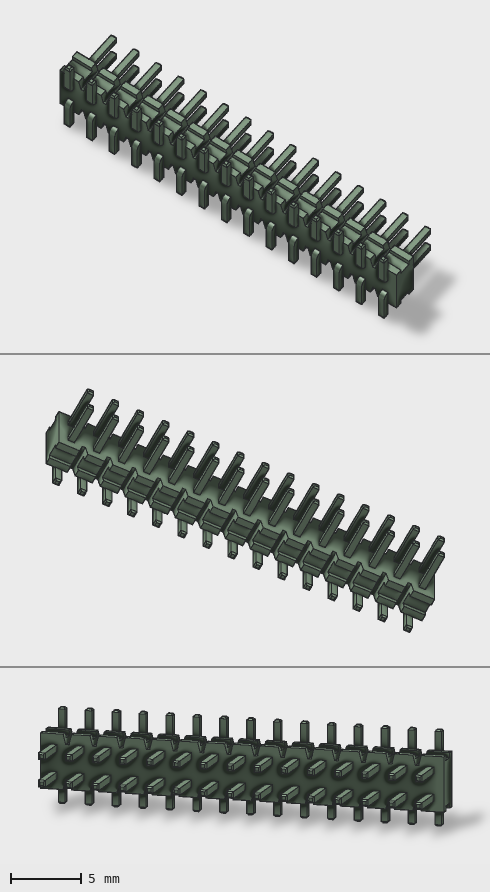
import cadquery as cq

LENGTH = 29.98
POSITIONS = 15
PITCH = LENGTH / POSITIONS
BODY_DEPTH = 2.05
BODY_HEIGHT = 4.05

PIN_SIZE = PITCH / 4
PIN_REACH = 3.18
ROW_SPACING = PITCH
TIP_CHAMFER = 0.12
FOOT_SPAN = 7.05
FOOT_PROUD = 0.48

GROOVE_WIDTH = 0.95
GROOVE_DEPTH = 0.35

NOTCH_MOUTH = 0.63
NOTCH_FLOOR = 0.25
NOTCH_DEPTH = 0.75

BODY_TOP = BODY_HEIGHT / 2
PIN_TIP_Y = BODY_DEPTH + PIN_REACH
ROW_Z = ROW_SPACING / 2
FOOT_LENGTH = FOOT_SPAN / 2 - ROW_Z + PIN_SIZE / 2
FOOT_BACK_Y = PIN_SIZE - FOOT_PROUD
FOOT_Y = FOOT_BACK_Y - PIN_SIZE / 2


def position_x(index):
    """X of the pin column with the given index, the row being centred on X = 0."""
    return (index - (POSITIONS - 1) / 2) * PITCH


def mirrored_pair(upper):
    """The upper feature together with its copy below the XY plane."""
    return upper.union(upper.mirror("XY"))


def make_groove():
    """Groove running the full length of the top face."""
    return cq.Workplane("XY").box(LENGTH, GROOVE_WIDTH, GROOVE_DEPTH).translate(
        (0, BODY_DEPTH / 2, BODY_TOP - GROOVE_DEPTH / 2)
    )


def make_notch(x):
    """Tapered break-off notch across the top face, centred on x."""
    floor_z = BODY_TOP - NOTCH_DEPTH
    return (
        cq.Workplane("XZ")
        .moveTo(x - NOTCH_MOUTH / 2, BODY_TOP)
        .lineTo(x - NOTCH_FLOOR / 2, floor_z)
        .lineTo(x + NOTCH_FLOOR / 2, floor_z)
        .lineTo(x + NOTCH_MOUTH / 2, BODY_TOP)
        .close()
        .extrude(-BODY_DEPTH)
    )


def make_body():
    """Insulator strip with grooves and notches on its top and bottom faces."""
    body = cq.Workplane("XY").box(LENGTH, BODY_DEPTH, BODY_HEIGHT).translate((0, BODY_DEPTH / 2, 0))
    body = body.cut(mirrored_pair(make_groove()))
    for index in range(POSITIONS - 1):
        notch = make_notch(position_x(index) + PITCH / 2)
        body = body.cut(mirrored_pair(notch))
    return body


def make_foot(x):
    """Upright solder foot at x, with the outside of its bend rounded over the full thickness."""
    foot = (
        cq.Workplane("XY")
        .box(PIN_SIZE, PIN_SIZE, FOOT_LENGTH)
        .translate((x, FOOT_Y, (FOOT_SPAN - FOOT_LENGTH) / 2))
        .faces(">Z")
        .chamfer(TIP_CHAMFER)
    )
    corner = cq.Workplane("XY").box(PIN_SIZE, PIN_SIZE, PIN_SIZE).translate((x, FOOT_Y, ROW_Z))
    bend_axis_start = (x - PIN_SIZE / 2, FOOT_BACK_Y, ROW_Z + PIN_SIZE / 2)
    bend = cq.Workplane("YZ", origin=bend_axis_start).circle(PIN_SIZE).extrude(PIN_SIZE)
    return foot.cut(corner.cut(bend))


def make_contact(x):
    """Upper contact at x: a straight pin through the body, bent up into a solder foot."""
    pin = (
        cq.Workplane("XY")
        .box(PIN_SIZE, PIN_TIP_Y, PIN_SIZE)
        .translate((x, PIN_TIP_Y / 2, ROW_Z))
        .faces(">Y")
        .chamfer(TIP_CHAMFER)
    )
    return pin.union(make_foot(x))


result = make_body()
for column in range(POSITIONS):
    result = result.union(mirrored_pair(make_contact(position_x(column))))